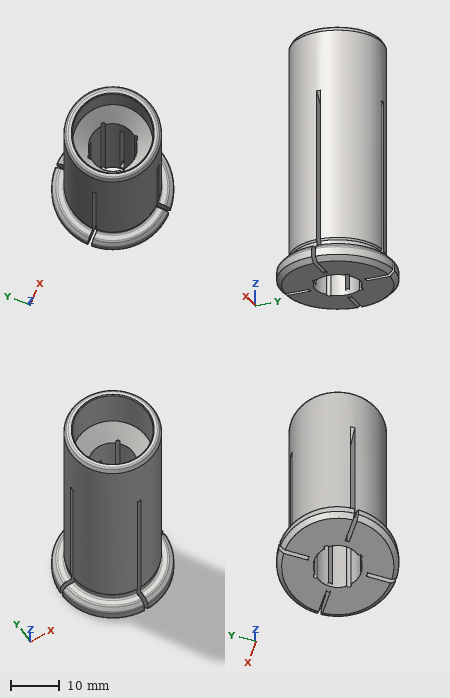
import cadquery as cq

LENGTH = 54.0
BODY_RADIUS = 10.0
FLANGE_DIAMETER = 25.0
FLANGE_RADIUS = FLANGE_DIAMETER / 2
BORE_DIAMETER = 10.0
BORE_RADIUS = BORE_DIAMETER / 2
SOCKET_RADIUS = 8.25

FLANGE_THICKNESS = 4.0
FLANGE_CHAMFER = 1.0
FLANGE_EDGE_ROUND = 0.55
NECK_RADIUS = 9.8
NECK_FILLET = 0.4
NECK_TOP = 5.6
NECK_TAPER_HEIGHT = 0.45

RIM_CHAMFER_HEIGHT = 1.0
RIM_CHAMFER_WIDTH = 0.6
RIM_ROUND = 0.5
SOCKET_CHAMFER = 0.2

SOCKET_DEPTH = 10.0
CONE_HEIGHT = SOCKET_RADIUS - BORE_RADIUS

SLOT_COUNT = 4
SLOT_WIDTH = 0.85
SLOT_TOP = 39.7
LIP_HEIGHT = 1.35
SLOT_OVERRUN = 0.55

GROOVE_RADIUS = 0.5
GROOVE_START_ANGLE = 45.0

TOLERANCE = 0.005


def round_edge(body, radius, height, round_radius):
    """Round the circular edge that has the given radius and height."""
    def is_wanted(edge):
        if edge.geomType() != "CIRCLE":
            return False
        return abs(edge.radius() - radius) < TOLERANCE and abs(edge.Center().z - height) < TOLERANCE

    return body.newObject([edge for edge in body.edges().vals() if is_wanted(edge)]).fillet(round_radius)


def make_body():
    """Revolve the solid outline, then round the flange, neck and rim edges."""
    flange_face_radius = FLANGE_RADIUS - FLANGE_CHAMFER
    flange_shoulder = FLANGE_THICKNESS - FLANGE_CHAMFER
    rim_radius = BODY_RADIUS - RIM_CHAMFER_WIDTH
    body = (
        cq.Workplane("XZ")
        .lineTo(flange_face_radius, 0)
        .lineTo(FLANGE_RADIUS, FLANGE_CHAMFER)
        .lineTo(FLANGE_RADIUS, flange_shoulder)
        .lineTo(flange_face_radius, FLANGE_THICKNESS)
        .lineTo(NECK_RADIUS, FLANGE_THICKNESS)
        .lineTo(NECK_RADIUS, NECK_TOP)
        .lineTo(BODY_RADIUS, NECK_TOP + NECK_TAPER_HEIGHT)
        .lineTo(BODY_RADIUS, LENGTH - RIM_CHAMFER_HEIGHT)
        .lineTo(rim_radius, LENGTH)
        .lineTo(0, LENGTH)
        .close()
        .revolve(360, (0, 0, 0), (0, 1, 0))
    )
    body = round_edge(body, FLANGE_RADIUS, flange_shoulder, FLANGE_EDGE_ROUND)
    body = round_edge(body, flange_face_radius, FLANGE_THICKNESS, FLANGE_EDGE_ROUND)
    body = round_edge(body, NECK_RADIUS, FLANGE_THICKNESS, NECK_FILLET)
    return round_edge(body, rim_radius, LENGTH, RIM_ROUND)


def make_bore():
    """Revolve the through bore, the conical shoulder and the upper socket."""
    socket_floor = LENGTH - SOCKET_DEPTH
    return (
        cq.Workplane("XZ")
        .lineTo(BORE_RADIUS, 0)
        .lineTo(BORE_RADIUS, socket_floor - CONE_HEIGHT)
        .lineTo(SOCKET_RADIUS, socket_floor)
        .lineTo(SOCKET_RADIUS, LENGTH - SOCKET_CHAMFER)
        .lineTo(SOCKET_RADIUS + SOCKET_CHAMFER, LENGTH)
        .lineTo(0, LENGTH)
        .close()
        .revolve(360, (0, 0, 0), (0, 1, 0))
    )


def make_slot():
    """Make one radial slot along +X whose ends widen outward at 45 degrees."""
    outer = FLANGE_RADIUS + SLOT_OVERRUN
    slot_top_inner = SLOT_TOP - BODY_RADIUS
    lip_outer_radius = BORE_RADIUS + LIP_HEIGHT
    return (
        cq.Workplane("XZ")
        .moveTo(lip_outer_radius, 0)
        .lineTo(outer, 0)
        .lineTo(outer, slot_top_inner + outer)
        .lineTo(0, slot_top_inner)
        .lineTo(0, lip_outer_radius)
        .close()
        .extrude(SLOT_WIDTH / 2, both=True)
    )


def make_groove():
    """Make one round coolant groove centred on the bore wall along +X."""
    return cq.Workplane("XY").center(BORE_RADIUS, 0).circle(GROOVE_RADIUS).extrude(LENGTH - SOCKET_DEPTH)


result = make_body().cut(make_bore())
for index in range(SLOT_COUNT):
    slot_angle = index * 360 / SLOT_COUNT
    slot = make_slot().rotate((0, 0, 0), (0, 0, 1), slot_angle)
    groove = make_groove().rotate((0, 0, 0), (0, 0, 1), GROOVE_START_ANGLE + slot_angle)
    result = result.cut(slot).cut(groove)